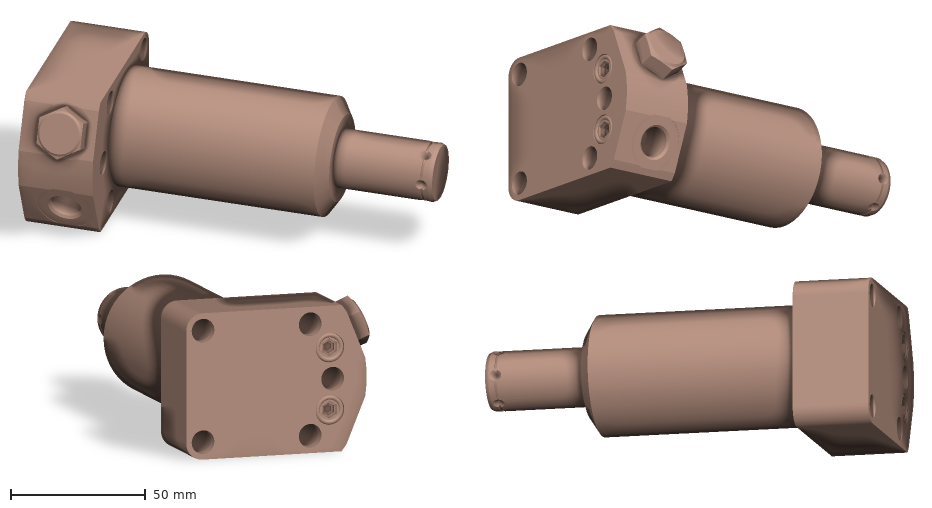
import cadquery as cq
import math

block_length = 29.0
block_half = 27.6
block_end_radius = 43.3
block_corner_radius = 6.3

total_length = 150.7
body_radius = 22.8
body_end = 112.6
body_cone_length = 4.0
body_face_radius = 16.6
rod_radius = 11.2
rod_chamfer_length = 1.4
rod_chamfer_depth = 0.6

dimple_x = 146.6
dimple_count = 6
dimple_radius = 2.3
dimple_depth = 2.3
groove_width = 0.9
groove_depth = 0.5

hole_diameter = 8.9
hole_spacing = 42.0
end_hole_y = -29.8

port_angle = 22.5
port_x = 16.9
flat_distance = 42.2
spotface_depth = 0.2
spotface_radius = 10.7
port_radius = 5.7
port_mouth_radius = 6.6
port_depth = 13.9

hex_sides = 6
plug_flats = 17.0
plug_height = 8.0
plug_top_radius = 7.7
plug_rim_height = 0.8
plug_corner_drop = 0.3
collar_radius = 7.8
collar_height = 0.9

screw_y = -28.8
screw_z = 11.8
recess_radius = 5.6
recess_depth = 1.8
seal_radius = 0.9
screw_radius = 4.0
screw_face_depth = 0.6
socket_steps = 3
socket_corners = 6.6
socket_corner_reduction = 1.7
socket_step_depth = 1.0

spotface_distance = flat_distance - spotface_depth


def along_x(start_x, y=0.0, z=0.0):
    """Workplane facing +X with local x = Y and local y = Z."""
    return cq.Workplane("YZ", origin=(start_x, y, z))


def port_plane(distance, side):
    """Workplane square to a port axis, facing outward; side is +1 (upper) or -1 (lower)."""
    angle = math.radians(port_angle)
    normal = (0, -math.cos(angle), side * math.sin(angle))
    origin = (port_x, distance * normal[1], distance * normal[2])
    return cq.Workplane(cq.Plane(origin=origin, xDir=(1, 0, 0), normal=normal))


def make_block():
    corner_y = -math.sqrt(block_end_radius**2 - block_half**2)
    block = (
        along_x(0)
        .moveTo(corner_y, block_half)
        .lineTo(block_half, block_half)
        .lineTo(block_half, -block_half)
        .lineTo(corner_y, -block_half)
        .threePointArc((-block_end_radius, 0), (corner_y, block_half))
        .close()
        .extrude(block_length)
    )
    block = block.edges("|X and >Y").fillet(block_corner_radius)
    for side in (1, -1):
        flat_cutter = port_plane(flat_distance, side).rect(2 * block_length, block_half)
        block = block.cut(flat_cutter.extrude(block_half))
    return block


def make_body_and_rod():
    profile = [
        (0, 0),
        (0, body_radius),
        (body_end - body_cone_length, body_radius),
        (body_end, body_face_radius),
        (body_end, rod_radius),
        (dimple_x - groove_width / 2, rod_radius),
        (dimple_x - groove_width / 2, rod_radius - groove_depth),
        (dimple_x + groove_width / 2, rod_radius - groove_depth),
        (dimple_x + groove_width / 2, rod_radius),
        (total_length - rod_chamfer_length, rod_radius),
        (total_length, rod_radius - rod_chamfer_depth),
        (total_length, 0),
    ]
    return cq.Workplane("XY").polyline(profile).close().revolve(360, (0, 0, 0), (1, 0, 0))


def make_dimple(index):
    """Cone with its tip inside the rod, widening outward past the rod surface."""
    tip = rod_radius - dimple_depth
    rim = rod_radius + dimple_depth
    half_profile = [(dimple_x, -tip), (dimple_x, -rim), (dimple_x + 2 * dimple_radius, -rim)]
    cone = (
        cq.Workplane("XY")
        .polyline(half_profile)
        .close()
        .revolve(360, (dimple_x, 0, 0), (dimple_x, 1, 0))
    )
    return cone.rotate((0, 0, 0), (1, 0, 0), index * 360 / dimple_count)


def make_mounting_holes():
    corner_holes = along_x(0).rect(hole_spacing, hole_spacing, forConstruction=True).vertices()
    corner_holes = corner_holes.circle(hole_diameter / 2).extrude(block_length)
    end_hole = along_x(0, end_hole_y).circle(hole_diameter / 2).extrude(block_length)
    return corner_holes.union(end_hole)


def make_spotface(side):
    return port_plane(spotface_distance, side).circle(spotface_radius).extrude(block_half)


def make_port_hole():
    mouth_chamfer = port_mouth_radius - port_radius
    entry = port_plane(spotface_distance, -1)
    hole = entry.circle(port_radius).extrude(-port_depth)
    mouth = cq.Solid.makeCone(
        port_mouth_radius,
        port_radius,
        mouth_chamfer,
        pnt=entry.plane.origin,
        dir=-entry.plane.zDir,
    )
    return hole.union(cq.Workplane(mouth))


def make_plug():
    corner_radius = plug_flats / 2 / math.cos(math.pi / hex_sides)
    head_plane = port_plane(spotface_distance + collar_height, 1)
    head_height = plug_height - collar_height
    rim_base = head_height - plug_rim_height
    head = (
        head_plane.transformed(rotate=(0, 0, 90))
        .polygon(hex_sides, 2 * corner_radius)
        .extrude(head_height)
    )
    crown_profile = [
        (0, 0),
        (corner_radius, 0),
        (corner_radius, rim_base - plug_corner_drop),
        (plug_flats / 2, rim_base),
        (plug_top_radius, head_height),
        (0, head_height),
    ]
    crown = (
        head_plane.transformed(rotate=(90, 0, 0))
        .polyline(crown_profile)
        .close()
        .revolve(360, (0, 0, 0), (0, 1, 0))
    )
    collar = port_plane(spotface_distance, 1).circle(collar_radius).extrude(collar_height)
    return head.intersect(crown).union(collar)


def add_set_screw(part, z):
    recess = along_x(0, screw_y, z).circle(recess_radius).extrude(recess_depth)
    seal = cq.Workplane(
        cq.Solid.makeTorus(
            recess_radius - seal_radius,
            seal_radius,
            pnt=cq.Vector(seal_radius, screw_y, z),
            dir=cq.Vector(1, 0, 0),
        )
    )
    screw = along_x(screw_face_depth, screw_y, z).circle(screw_radius).extrude(recess_depth)
    part = part.cut(recess).union(seal).union(screw)
    for step in range(socket_steps):
        socket = (
            along_x(screw_face_depth, screw_y, z)
            .transformed(rotate=(0, 0, 90))
            .polygon(hex_sides, socket_corners - step * socket_corner_reduction)
            .extrude((step + 1) * socket_step_depth)
        )
        part = part.cut(socket)
    return part


result = make_block().union(make_body_and_rod())
for dimple_index in range(dimple_count):
    result = result.cut(make_dimple(dimple_index))
result = result.cut(make_mounting_holes())
for port_side in (1, -1):
    result = result.cut(make_spotface(port_side))
result = result.cut(make_port_hole()).union(make_plug())
for screw_side in (1, -1):
    result = add_set_screw(result, screw_side * screw_z)